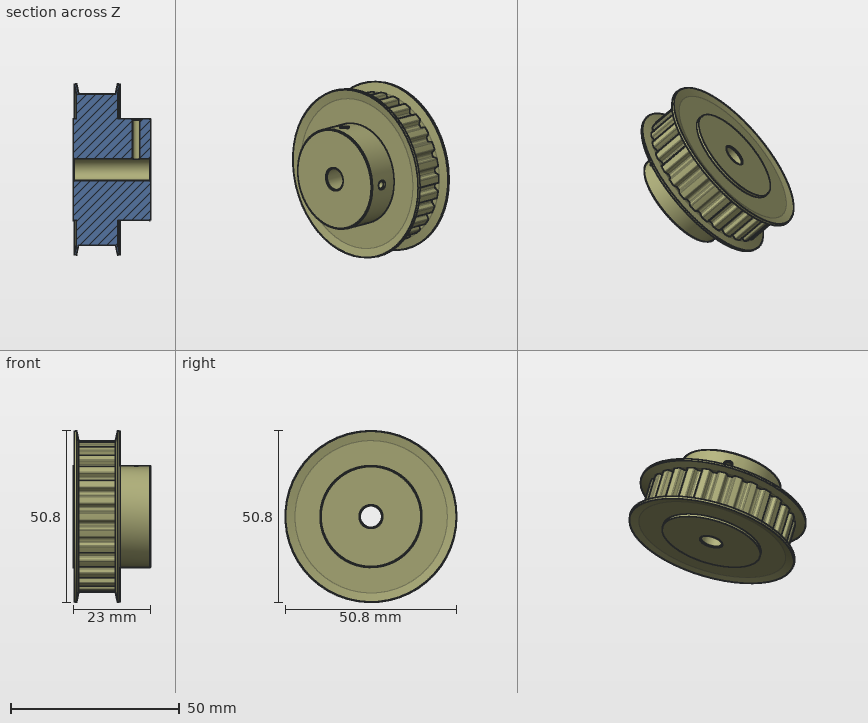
import cadquery as cq
import math

overall_length = 23.0
hub_radius = 15.1
hub_chamfer = 0.3
bore_radius = 3.2
bore_chamfer = 0.3

tooth_count = 28
tip_radius = 22.4
rim_start = 1.7
rim_end = 12.5

gap_depth = 1.5
gap_bottom_width = 1.25
gap_flank_angle = 25
root_fillet = 0.35
tip_fillet = 0.35

flange_radius = 25.4
flange_bend_radius = 22.55
flange_thickness = 0.75
flange_bend_angle = 12

screw_x = 18.65
screw_radius = 1.05
screw_countersink_radius = 1.45


def cylinder(radius, start, end):
    return cq.Workplane("YZ").workplane(offset=start).circle(radius).extrude(end - start)


def hub():
    body = cylinder(hub_radius, 0, overall_length)
    return body.faces(">X").edges().chamfer(hub_chamfer)


def gap_cutter():
    """One tapered tooth gap on +Y, rounded at its root and overrunning the tooth tips."""
    root_radius = tip_radius - gap_depth
    cutter_height = 2 * gap_depth
    half_bottom = gap_bottom_width / 2
    half_top = half_bottom + cutter_height * math.tan(math.radians(gap_flank_angle))
    return (
        cq.Workplane("YZ")
        .workplane(offset=rim_start)
        .moveTo(root_radius, -half_bottom)
        .lineTo(root_radius, half_bottom)
        .lineTo(root_radius + cutter_height, half_top)
        .lineTo(root_radius + cutter_height, -half_top)
        .close()
        .extrude(rim_end - rim_start)
        .edges("|X and <Y")
        .fillet(root_fillet)
    )


def is_tip_edge(edge):
    """True for edges lying on the tip half of the teeth."""
    center = edge.Center()
    return math.hypot(center.y, center.z) > tip_radius - gap_depth / 2


def toothed_rim():
    """Rim with a tooth, not a gap, centred on each of the Y and Z axes."""
    rim = cylinder(tip_radius, rim_start, rim_end)
    cutter = gap_cutter()
    pitch_angle = 360 / tooth_count
    for index in range(tooth_count):
        angle = (index + 0.5) * pitch_angle
        rim = rim.cut(cutter.rotate((0, 0, 0), (1, 0, 0), angle))
    return rim.edges("|X").filter(is_tip_edge).fillet(tip_fillet)


def revolve_about_x(points):
    return cq.Workplane("XY").polyline(points).close().revolve(360, (0, 0, 0), (1, 0, 0))


def flange(inner_face, outward):
    """Dished disc; inner_face touches the teeth and outward is -1 or +1 along X."""
    bend = math.radians(flange_bend_angle)
    rim_inner_x = (flange_radius - tip_radius) * math.tan(bend)
    rim_outer_x = rim_inner_x + flange_thickness * math.cos(bend)
    rim_outer_radius = flange_radius - flange_thickness * math.sin(bend)
    outer_bend_x = rim_outer_x - (rim_outer_radius - flange_bend_radius) * math.tan(bend)
    profile = [
        (0, 0),
        (0, tip_radius),
        (rim_inner_x, flange_radius),
        (rim_outer_x, rim_outer_radius),
        (outer_bend_x, flange_bend_radius),
        (outer_bend_x, 0),
    ]
    return revolve_about_x([(inner_face + outward * x, radius) for x, radius in profile])


def bore():
    """Through bore, chamfered at both ends."""
    profile = [
        (0, 0),
        (0, bore_radius + bore_chamfer),
        (bore_chamfer, bore_radius),
        (overall_length - bore_chamfer, bore_radius),
        (overall_length, bore_radius + bore_chamfer),
        (overall_length, 0),
    ]
    return revolve_about_x(profile)


def screw_hole():
    """Countersunk hole along +Z, from the bore axis to the hub surface."""
    countersink_depth = screw_countersink_radius - screw_radius
    profile = [
        (0, 0),
        (screw_radius, 0),
        (screw_radius, hub_radius - countersink_depth),
        (screw_countersink_radius, hub_radius),
        (0, hub_radius),
    ]
    hole = cq.Workplane("XZ").polyline(profile).close().revolve(360, (0, 0, 0), (0, 1, 0))
    return hole.translate((screw_x, 0, 0))


screw_z = screw_hole()
screw_y = screw_z.rotate((0, 0, 0), (1, 0, 0), -90)

result = (
    hub()
    .union(toothed_rim())
    .union(flange(rim_start, -1))
    .union(flange(rim_end, 1))
    .cut(bore())
    .cut(screw_z)
    .cut(screw_y)
)